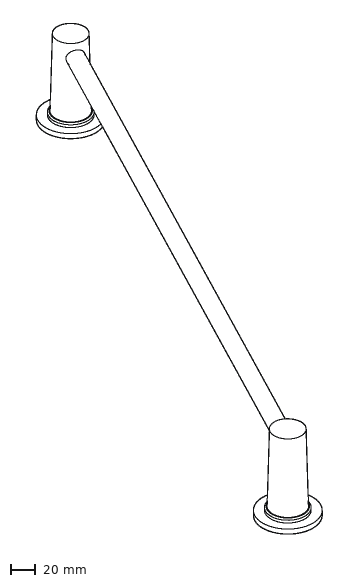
import cadquery as cq

overall_length = 665.5
overall_height = 84.0

flange_diameter = 56.0
flange_thickness = 5.0
collar_diameter = 38.0
collar_height = 4.0
collar_chamfer = 1.0
stem_bottom_diameter = 34.0
stem_top_diameter = 30.0
stem_height = overall_height - flange_thickness

bar_diameter = 16.0
bar_axis_height = 69.0

post_spacing = overall_length - flange_diameter
post_positions = [-post_spacing / 2, post_spacing / 2]


def make_post(x):
    """One post standing on its flange with its axis at the given X."""
    flange = cq.Workplane("XY").circle(flange_diameter / 2).extrude(flange_thickness)
    collar = (
        cq.Workplane("XY")
        .workplane(offset=flange_thickness)
        .circle(collar_diameter / 2)
        .extrude(collar_height)
        .faces(">Z")
        .chamfer(collar_chamfer)
    )
    stem = (
        cq.Workplane("XY")
        .workplane(offset=flange_thickness)
        .circle(stem_bottom_diameter / 2)
        .workplane(offset=stem_height)
        .circle(stem_top_diameter / 2)
        .loft(ruled=True)
    )
    post = flange.union(collar).union(stem)
    return post.translate((x, 0, 0))


def make_bar(posts):
    """Round bar between the posts, its ends shaped to the stems they meet."""
    bar = (
        cq.Workplane("YZ", origin=(post_positions[0], 0, 0))
        .center(0, bar_axis_height)
        .circle(bar_diameter / 2)
        .extrude(post_spacing)
    )
    for post in posts:
        bar = bar.cut(post)
    return bar


posts = [make_post(x) for x in post_positions]
bar = make_bar(posts)

result = cq.Compound.makeCompound([*[post.val() for post in posts], bar.val()])